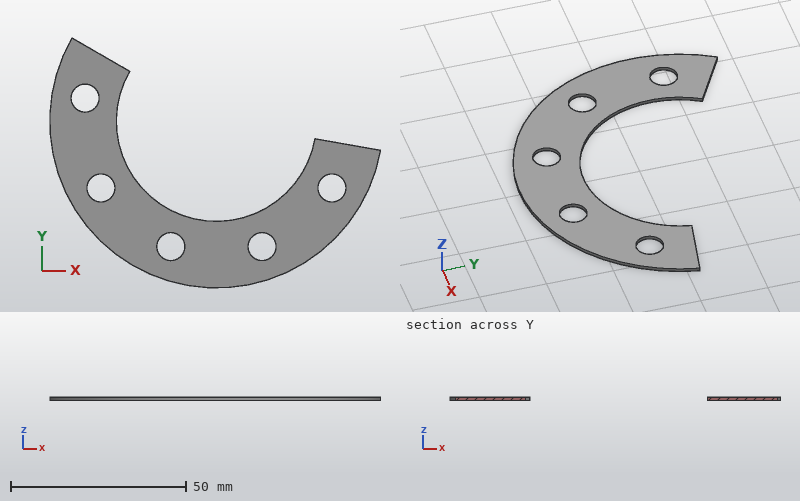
import cadquery as cq
import math

overall_width = 94.5
inner_radius = 28.55
thickness = 1.0
start_angle = 150.0
end_angle = 350.0
hole_diameter = 7.9
hole_count = 5
hole_pitch_angle = 40.0
first_hole_angle = start_angle + hole_pitch_angle / 2

outer_radius = overall_width / (1 + math.cos(math.radians(end_angle)))
hole_circle_radius = (outer_radius + inner_radius) / 2
middle_angle = (start_angle + end_angle) / 2


def polar_point(radius, angle):
    """Point at a radius and an angle in degrees about the ring centre."""
    return radius * math.cos(math.radians(angle)), radius * math.sin(math.radians(angle))


segment = (
    cq.Workplane("XY")
    .moveTo(*polar_point(outer_radius, start_angle))
    .threePointArc(polar_point(outer_radius, middle_angle), polar_point(outer_radius, end_angle))
    .lineTo(*polar_point(inner_radius, end_angle))
    .threePointArc(polar_point(inner_radius, middle_angle), polar_point(inner_radius, start_angle))
    .close()
    .extrude(thickness)
)

hole_centres = [
    polar_point(hole_circle_radius, first_hole_angle + index * hole_pitch_angle)
    for index in range(hole_count)
]
holes = cq.Workplane("XY").pushPoints(hole_centres).circle(hole_diameter / 2).extrude(thickness)

result = segment.cut(holes)